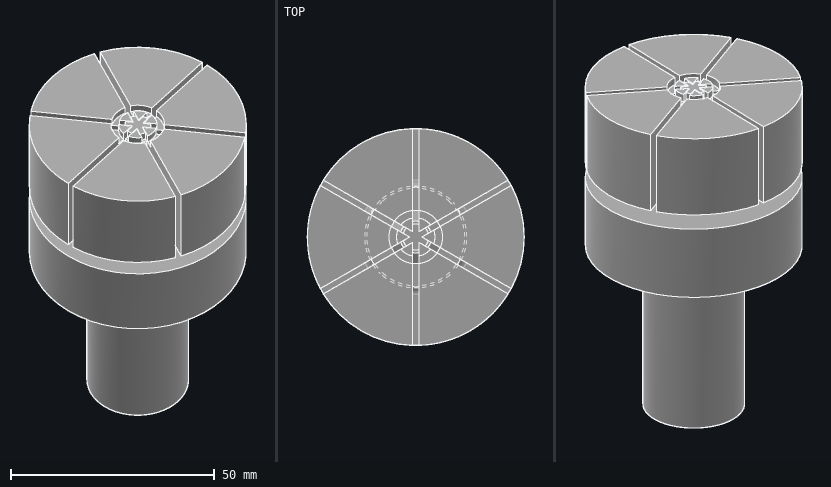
import cadquery as cq

TOTAL_HEIGHT = 88.9
HEAD_RADIUS = 26.7

SHANK_RADIUS = 12.5
SHANK_LENGTH = 44.45
FLANGE_THICKNESS = 19.1
NECK_RADIUS = 12.0
NECK_HEIGHT = 4.0
NECK_FILLET = NECK_HEIGHT / 2

GROOVE_OUTER_RADIUS = 6.6
GROOVE_INNER_RADIUS = 4.7
GROOVE_DEPTH = 2.05

SLOT_COUNT = 6
SLOT_WIDTH = 1.5
SLOT_DEPTH = 24.3

CORE_RADIUS = 6.5
CORE_TAPER_START_DEPTH = 11.9
CORE_SHOULDER_RADIUS = 3.9
CORE_SHOULDER_DEPTH = 2.5
CORE_TIP_RADIUS = 3.2
CORE_TIP_DEPTH = 0.3

FLANGE_TOP = SHANK_LENGTH + FLANGE_THICKNESS
HEAD_BOTTOM = FLANGE_TOP + NECK_HEIGHT
SLOT_FLOOR = TOTAL_HEIGHT - SLOT_DEPTH


def make_body():
    """Shank, flange, neck with concave fillets, and head, as one turned solid."""
    neck_middle = FLANGE_TOP + NECK_FILLET
    fillet_end_radius = NECK_RADIUS + NECK_FILLET
    return (
        cq.Workplane("XZ")
        .moveTo(0, 0)
        .lineTo(SHANK_RADIUS, 0)
        .lineTo(SHANK_RADIUS, SHANK_LENGTH)
        .lineTo(HEAD_RADIUS, SHANK_LENGTH)
        .lineTo(HEAD_RADIUS, FLANGE_TOP)
        .lineTo(fillet_end_radius, FLANGE_TOP)
        .radiusArc((NECK_RADIUS, neck_middle), NECK_FILLET)
        .radiusArc((fillet_end_radius, HEAD_BOTTOM), NECK_FILLET)
        .lineTo(HEAD_RADIUS, HEAD_BOTTOM)
        .lineTo(HEAD_RADIUS, TOTAL_HEIGHT)
        .lineTo(0, TOTAL_HEIGHT)
        .close()
        .revolve(360, (0, 0), (0, 1))
    )


def make_groove():
    """Cutter for the flat-bottomed ring groove cut down from the top face."""
    return (
        cq.Workplane("XY", origin=(0, 0, TOTAL_HEIGHT - GROOVE_DEPTH))
        .circle(GROOVE_OUTER_RADIUS)
        .circle(GROOVE_INNER_RADIUS)
        .extrude(GROOVE_DEPTH)
    )


def make_core():
    """Cylinder, taper, shoulder and tip that the slots leave uncut."""
    shoulder_z = TOTAL_HEIGHT - CORE_SHOULDER_DEPTH
    tip_z = TOTAL_HEIGHT - CORE_TIP_DEPTH
    return (
        cq.Workplane("XZ")
        .moveTo(0, SLOT_FLOOR)
        .lineTo(CORE_RADIUS, SLOT_FLOOR)
        .lineTo(CORE_RADIUS, TOTAL_HEIGHT - CORE_TAPER_START_DEPTH)
        .lineTo(CORE_SHOULDER_RADIUS, shoulder_z)
        .lineTo(CORE_TIP_RADIUS, shoulder_z)
        .lineTo(CORE_TIP_RADIUS, tip_z)
        .lineTo(0, tip_z)
        .close()
        .revolve(360, (0, 0), (0, 1))
    )


def make_slots():
    """Cutter for slots across the full diameter, the first along Y, with the core taken out."""
    blade = (
        cq.Workplane("XY", origin=(0, 0, SLOT_FLOOR))
        .rect(SLOT_WIDTH, 2 * HEAD_RADIUS + SLOT_WIDTH)
        .extrude(SLOT_DEPTH)
    )
    slots = blade
    for index in range(1, SLOT_COUNT // 2):
        angle = index * 360 / SLOT_COUNT
        slots = slots.union(blade.rotate((0, 0, 0), (0, 0, 1), angle))
    return slots.cut(make_core())


result = make_body().cut(make_groove()).cut(make_slots())